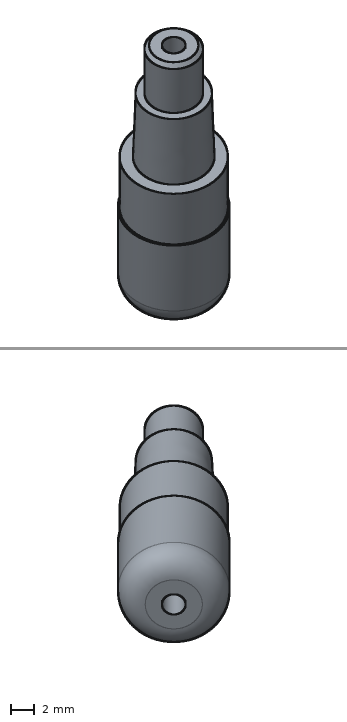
import cadquery as cq

total_height = 29.1
cap_height = 10.05
collar_top = 16.0
taper_top = 23.5

cap_diameter = 9.52
collar_diameter = 9.22
taper_base_diameter = 6.95
taper_top_diameter = 6.52
tip_diameter = 5.0
bore_diameter = 2.0

cap_bottom_radius = 2.33
tip_chamfer = 0.4


def make_cap():
    """Bored cylindrical cap with a rounded bottom edge."""
    cap = cq.Workplane("XY").circle(cap_diameter / 2).extrude(cap_height)
    cap = cap.faces("<Z").edges().fillet(cap_bottom_radius)
    return cap.faces(">Z").workplane().hole(bore_diameter)


def make_stem():
    """Bored stem: collar, tapered neck and chamfered tip, seated on the cap."""
    bore_radius = bore_diameter / 2
    collar_radius = collar_diameter / 2
    tip_radius = tip_diameter / 2
    half_section = [
        (bore_radius, cap_height),
        (collar_radius, cap_height),
        (collar_radius, collar_top),
        (taper_base_diameter / 2, collar_top),
        (taper_top_diameter / 2, taper_top),
        (tip_radius, taper_top),
        (tip_radius, total_height - tip_chamfer),
        (tip_radius - tip_chamfer, total_height),
        (bore_radius, total_height),
    ]
    return cq.Workplane("XZ").polyline(half_section).close().revolve(360, (0, 0), (0, 1))


cap = make_cap()
stem = make_stem()

result = cq.Compound.makeCompound([cap.val(), stem.val()])